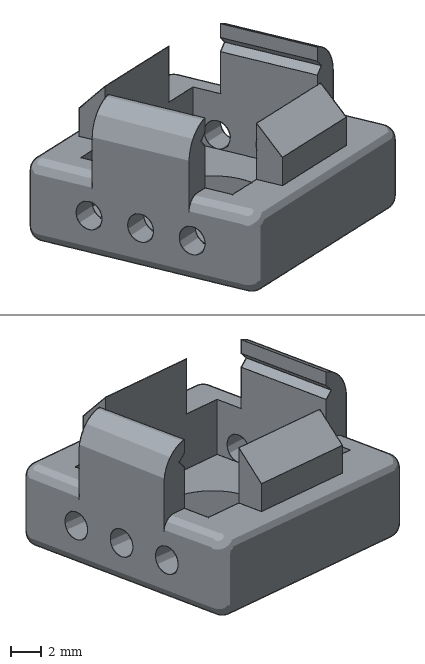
import cadquery as cq
import math

side = 18.0
base_height = 6.0
edge_radius = 1.0

pocket_x = 11.75
pocket_y = 14.0
floor_thickness = 2.0
floor_hole_diameter = 7.0

wall_hole_diameter = 2.0
wall_hole_pitch = 4.0
wall_hole_count = 3

total_height = 11.0
clip_width = 7.5
clip_thickness = (side - pocket_y) / 2
clip_radius = 2.5
notch_depth = 0.5
notch_drop = 1.5

tab_width = 8.0
tab_thickness = 2.0
tab_top = 10.0


def make_base():
    """Block with every outer edge rounded."""
    block = cq.Workplane("XY").box(side, side, base_height, centered=(True, True, False))
    return block.edges().fillet(edge_radius)


def make_clip():
    """Front clip: rounded outside at the top, V-notched inside."""
    outer_y = -side / 2
    inner_y = outer_y + clip_thickness
    arc_center_y = outer_y + clip_radius
    arc_rise = math.sqrt(clip_radius**2 - (arc_center_y - inner_y) ** 2)
    arc_base_z = total_height - arc_rise
    half_sweep = math.asin(arc_rise / clip_radius) / 2
    arc_middle = (
        arc_center_y - clip_radius * math.cos(half_sweep),
        arc_base_z + clip_radius * math.sin(half_sweep),
    )
    notch_z = total_height - notch_drop
    foot_z = base_height - edge_radius
    return (
        cq.Workplane("YZ")
        .moveTo(outer_y, foot_z)
        .lineTo(outer_y, arc_base_z)
        .threePointArc(arc_middle, (inner_y, total_height))
        .lineTo(inner_y, notch_z + notch_depth)
        .lineTo(inner_y - notch_depth, notch_z)
        .lineTo(inner_y, notch_z - notch_depth)
        .lineTo(inner_y, foot_z)
        .close()
        .extrude(clip_width / 2, both=True)
    )


def make_tab():
    """Left tab: a 45 degree bevel falls outward from its inner top edge."""
    inner_x = -pocket_x / 2
    outer_x = inner_x - tab_thickness
    foot_z = base_height - edge_radius
    return (
        cq.Workplane("XZ")
        .moveTo(inner_x, foot_z)
        .lineTo(inner_x, tab_top)
        .lineTo(outer_x, tab_top - tab_thickness)
        .lineTo(outer_x, foot_z)
        .close()
        .extrude(tab_width / 2, both=True)
    )


def make_pocket():
    """Rectangular pocket open at the top, with a round hole through the floor."""
    pocket = (
        cq.Workplane("XY", origin=(0, 0, floor_thickness))
        .rect(pocket_x, pocket_y)
        .extrude(base_height - floor_thickness)
    )
    floor_hole = cq.Workplane("XY").circle(floor_hole_diameter / 2).extrude(base_height)
    return pocket.union(floor_hole)


def make_wall_holes():
    """Row of parallel holes along Y at mid-height of the base."""
    return (
        cq.Workplane("XZ", origin=(0, 0, base_height / 2))
        .rarray(wall_hole_pitch, 0.18, wall_hole_count, 1)
        .circle(wall_hole_diameter / 2)
        .extrude(side, both=True)
    )


body = make_base()
for feature, mirror_plane in ((make_clip(), "XZ"), (make_tab(), "YZ")):
    body = body.union(feature).union(feature.mirror(mirror_plane))

result = body.cut(make_pocket()).cut(make_wall_holes()).solids()